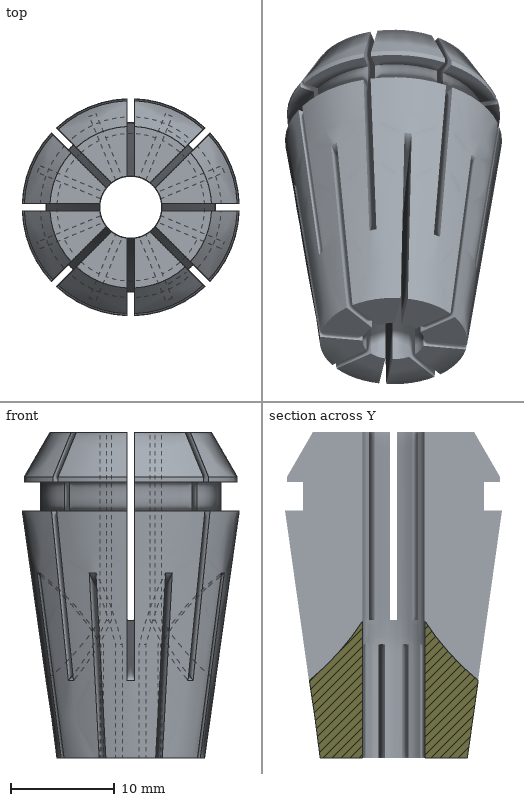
import cadquery as cq
import math

length = 31.5
bore_radius = 3.0

body_height = 23.9
body_top_radius = 10.5
body_half_angle = math.radians(8)
body_bottom_radius = body_top_radius - body_height * math.tan(body_half_angle)

groove_radius = 8.75
groove_width = 2.8
rim_radius = 10.3
rim_width = 0.5
nose_half_angle = math.radians(30)
rim_bottom = body_height + groove_width
rim_top = rim_bottom + rim_width
face_radius = rim_radius - (length - rim_top) * math.tan(nose_half_angle)

slot_width = 0.7
slot_count = 8
slot_pitch = 360 / slot_count
rear_first_angle = slot_pitch / 2
saw_radius = 25.0
saw_axis_radius = 24.0
front_slot_end = 7.5
rear_slot_end = 17.9


def make_blank():
    """Revolve the collet outline around Z, bore included."""
    outline = [
        (bore_radius, 0),
        (body_bottom_radius, 0),
        (body_top_radius, body_height),
        (groove_radius, body_height),
        (groove_radius, rim_bottom),
        (rim_radius, rim_bottom),
        (rim_radius, rim_top),
        (face_radius, length),
        (bore_radius, length),
    ]
    half_section = cq.Workplane("XZ").polyline(outline).close()
    return half_section.revolve(360, (0, 0, 0), (0, 1, 0))


def make_slot(end_height, direction):
    """Slot along +X from end_height on the body surface, running up (+1) or down (-1)."""
    surface_radius = body_bottom_radius + end_height * math.tan(body_half_angle)
    saw_rise = math.sqrt(saw_radius**2 - (saw_axis_radius - surface_radius) ** 2)
    saw_height = end_height + direction * saw_rise
    plane = cq.Workplane("XZ", origin=(saw_axis_radius, 0, saw_height))
    run_out = plane.circle(saw_radius).extrude(slot_width / 2, both=True)
    travel = plane.center(-saw_radius / 2, direction * length / 2)
    return run_out.union(travel.rect(saw_radius, length).extrude(slot_width / 2, both=True))


def cut_slots(body, slot, first_angle):
    """Cut a ring of equally spaced slots around Z."""
    for index in range(slot_count):
        angle = first_angle + index * slot_pitch
        body = body.cut(slot.rotate((0, 0, 0), (0, 0, 1), angle))
    return body


collet = make_blank()
collet = cut_slots(collet, make_slot(front_slot_end, 1), 0)
result = cut_slots(collet, make_slot(rear_slot_end, -1), rear_first_angle)